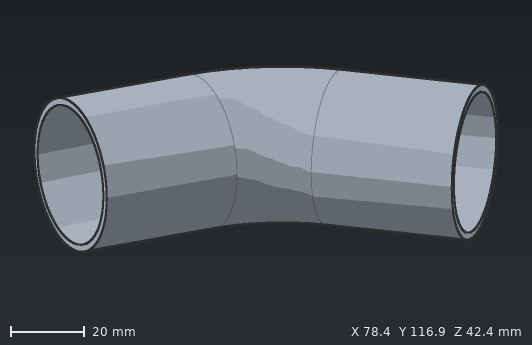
import cadquery as cq
import math

outer_diameter = 42.4
inner_diameter = 38.5
leg_length = 40.0
bend_radius = 47.6
bend_angle = 45

turn = math.radians(bend_angle)


def point_on_bend(angle):
    """Centreline point after turning by the given angle in radians."""
    return (
        bend_radius * (1 - math.cos(angle)),
        leg_length + bend_radius * math.sin(angle),
    )


bend_start = point_on_bend(0)
bend_middle = point_on_bend(turn / 2)
bend_end = point_on_bend(turn)
leg_end = (
    bend_end[0] + leg_length * math.sin(turn),
    bend_end[1] + leg_length * math.cos(turn),
)

centreline = (
    cq.Workplane("XY")
    .moveTo(0, 0)
    .lineTo(*bend_start)
    .threePointArc(bend_middle, bend_end)
    .lineTo(*leg_end)
    .wire()
)


def swept_rod(diameter):
    """Solid rod of the given diameter along the centreline."""
    return cq.Workplane("XZ").circle(diameter / 2).sweep(centreline)


result = swept_rod(outer_diameter).cut(swept_rod(inner_diameter))